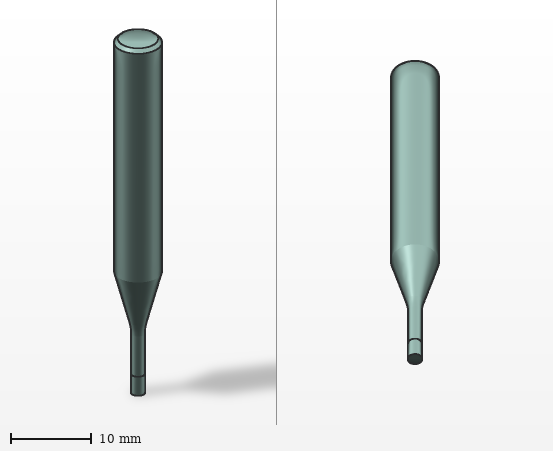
import cadquery as cq
import math

total_length = 50.0
shank_radius = 3.0
shank_chamfer = 0.5

cutter_radius = 0.9
cutter_length = 2.7

neck_diameter = 1.75
neck_radius = neck_diameter / 2
neck_top_z = 8.4

taper_angle = math.radians(15)
blend_top_z = 10.05
blend_radius = (blend_top_z - neck_top_z) / math.sin(taper_angle)


def blend_point(turn):
    """Point (radius, z) on the blend arc after it has turned by an angle from the neck."""
    radius = neck_radius + blend_radius * (1 - math.cos(turn))
    return (radius, neck_top_z + blend_radius * math.sin(turn))


def make_shank():
    """Chamfered shank, taper, blend and neck as one turned body."""
    blend_end = blend_point(taper_angle)
    taper_height = (shank_radius - blend_end[0]) / math.tan(taper_angle)
    shank_bottom_z = blend_top_z + taper_height

    return (
        cq.Workplane("XZ")
        .moveTo(0, cutter_length)
        .lineTo(neck_radius, cutter_length)
        .lineTo(neck_radius, neck_top_z)
        .threePointArc(blend_point(taper_angle / 2), blend_end)
        .lineTo(shank_radius, shank_bottom_z)
        .lineTo(shank_radius, total_length - shank_chamfer)
        .lineTo(shank_radius - shank_chamfer, total_length)
        .lineTo(0, total_length)
        .close()
        .revolve(360, (0, 0), (0, 1))
    )


def make_cutting_head():
    """Plain cylinder that meets the underside of the neck."""
    return cq.Workplane("XY").circle(cutter_radius).extrude(cutter_length)


shank = make_shank()
cutting_head = make_cutting_head()

result = cq.Compound.makeCompound([shank.val(), cutting_head.val()])